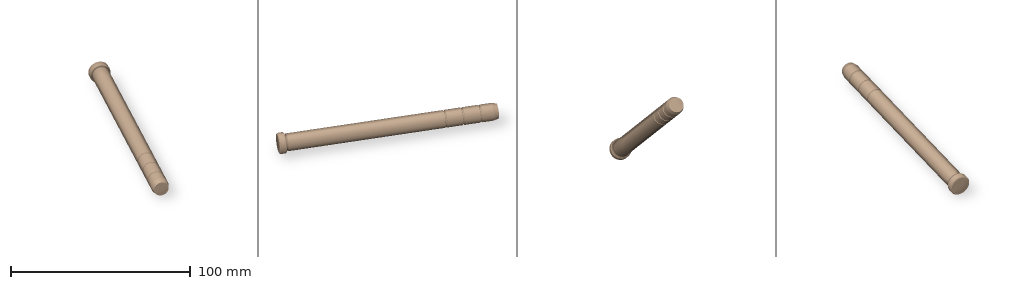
import cadquery as cq

length = 125.0
head_diameter = 12.0
head_length = 4.0
head_edge = 0.5
shaft_diameter = 10.0

groove_width = 1.0
groove_pitch = 10.0
groove_count = 3

tip_length = 3.0
tip_diameter = 8.5

start_x = -length / 2
end_x = length / 2
head_end_x = start_x + head_length


def cylinder(x, diameter, span):
    """Solid cylinder along X, starting at x."""
    return cq.Workplane("YZ", origin=(x, 0, 0)).circle(diameter / 2).extrude(span)


def ring_groove(x):
    """Ring that cuts a semicircular groove into the shaft, starting at x."""
    radius = shaft_diameter / 2
    return (
        cq.Workplane("XY")
        .moveTo(x, radius)
        .threePointArc((x + groove_width / 2, radius - groove_width / 2), (x + groove_width, radius))
        .close()
        .revolve(360, (0, 0, 0), (1, 0, 0))
    )


head = cylinder(start_x, head_diameter, head_length).edges().chamfer(head_edge)

straight_length = length - head_length - tip_length
shaft = cylinder(head_end_x, shaft_diameter, straight_length)
tip = (
    cq.Workplane("YZ", origin=(end_x - tip_length, 0, 0))
    .circle(shaft_diameter / 2)
    .workplane(offset=tip_length)
    .circle(tip_diameter / 2)
    .loft(ruled=True)
)
result = head.union(shaft).union(tip)

result = result.cut(ring_groove(head_end_x))

for number in range(1, groove_count + 1):
    groove_x = end_x - number * groove_pitch - groove_width / 2
    result = result.cut(ring_groove(groove_x))